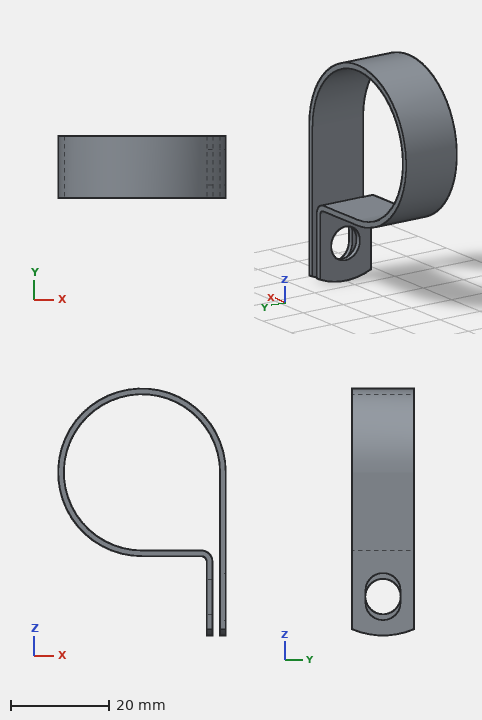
import cadquery as cq
import math

height = 50.35
width = 12.7
thickness = 1.2

loop_diameter = 34.2
loop_radius = loop_diameter / 2
loop_inner_radius = loop_radius - thickness

leg_gap = 1.5
bend_inner_radius = 1.1
bend_radius = bend_inner_radius + thickness
leg_bottom = loop_radius - height
short_leg_outer = loop_inner_radius - leg_gap
short_leg_inner = short_leg_outer - thickness
bend_start = short_leg_outer - bend_radius
bend_center_z = -loop_inner_radius - bend_radius

end_sag = 1.3
hole_diameter = 7.15
slot_length = 9.55
hole_height = 7.95


def arc_point(center_x, center_z, radius, angle):
    """Point on a circle in the XZ plane, angle in degrees from +X."""
    turn = math.radians(angle)
    return (center_x + radius * math.cos(turn), center_z + radius * math.sin(turn))


def make_strip():
    """Bent strip: long leg, three-quarter loop, flat run, bend, short leg."""
    return (
        cq.Workplane("XZ")
        .moveTo(loop_radius, leg_bottom)
        .lineTo(loop_radius, 0)
        .threePointArc(arc_point(0, 0, loop_radius, 135), (0, -loop_radius))
        .lineTo(bend_start, -loop_radius)
        .threePointArc(
            arc_point(bend_start, bend_center_z, bend_inner_radius, 45),
            (short_leg_inner, bend_center_z),
        )
        .lineTo(short_leg_inner, leg_bottom)
        .lineTo(short_leg_outer, leg_bottom)
        .lineTo(short_leg_outer, bend_center_z)
        .threePointArc(
            arc_point(bend_start, bend_center_z, bend_radius, 45),
            (bend_start, -loop_inner_radius),
        )
        .lineTo(0, -loop_inner_radius)
        .threePointArc(arc_point(0, 0, loop_inner_radius, 135), (loop_inner_radius, 0))
        .lineTo(loop_inner_radius, leg_bottom)
        .close()
        .extrude(width / 2, both=True)
    )


def make_side_outline():
    """Full-size block seen along X, with an arched lower end."""
    return (
        cq.Workplane("YZ")
        .moveTo(-width / 2, leg_bottom + end_sag)
        .threePointArc((0, leg_bottom), (width / 2, leg_bottom + end_sag))
        .lineTo(width / 2, loop_radius)
        .lineTo(-width / 2, loop_radius)
        .close()
        .extrude(loop_radius, both=True)
    )


def leg_plane(inner_x):
    """Plane facing +X on one face of a leg, centred on the bolt axis."""
    return cq.Workplane("YZ", origin=(inner_x, 0, leg_bottom + hole_height))


strip = make_strip().intersect(make_side_outline())
bolt_hole = leg_plane(short_leg_inner).circle(hole_diameter / 2).extrude(thickness)
bolt_slot = leg_plane(loop_inner_radius).slot2D(slot_length, hole_diameter, 90).extrude(thickness)

result = strip.cut(bolt_hole).cut(bolt_slot)